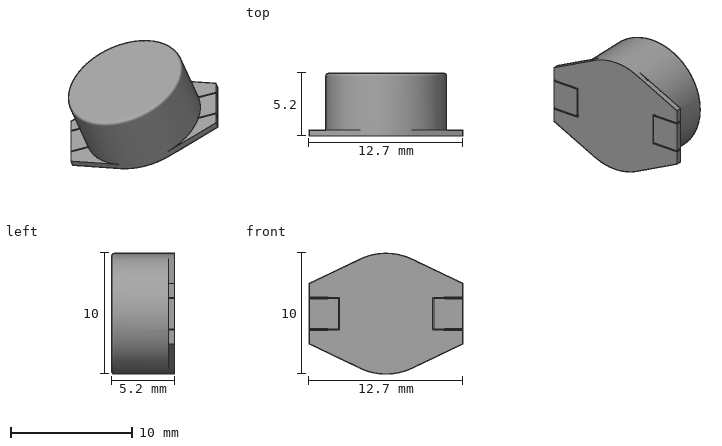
import cadquery as cq
import math

total_length = 12.7
total_height = 5.2
can_radius = 5.0
can_edge_radius = 0.25
base_thickness = 0.5
base_end_width = 5.0
pad_length = 2.4
pad_width = 2.5
pad_gap = 0.1
slot_corner_radius = 0.1

half_length = total_length / 2
half_end_width = base_end_width / 2
slot_length = pad_length + pad_gap
slot_width = pad_width + 2 * pad_gap

corner_distance = math.hypot(half_length, half_end_width)
corner_angle = math.atan2(half_end_width, half_length)
tangent_angle = corner_angle + math.acos(can_radius / corner_distance)
tangent_x = can_radius * math.cos(tangent_angle)
tangent_z = can_radius * math.sin(tangent_angle)


def sketch_plane(y):
    """Plane at height y whose local axes are X and Z and whose normal is -Y."""
    return cq.Workplane("XZ", origin=(0, y, 0))


def make_can():
    """Round can above the base, with its far rim rounded."""
    can = sketch_plane(base_thickness).circle(can_radius).extrude(base_thickness - total_height)
    return can.faces(">Y").edges().fillet(can_edge_radius)


def make_base():
    """Flat base: two straight ends joined by tangent slopes and can-radius arcs."""
    return (
        sketch_plane(0)
        .moveTo(half_length, -half_end_width)
        .lineTo(half_length, half_end_width)
        .lineTo(tangent_x, tangent_z)
        .threePointArc((0, can_radius), (-tangent_x, tangent_z))
        .lineTo(-half_length, half_end_width)
        .lineTo(-half_length, -half_end_width)
        .lineTo(-tangent_x, -tangent_z)
        .threePointArc((0, -can_radius), (tangent_x, -tangent_z))
        .close()
        .extrude(-base_thickness)
    )


def end_block(side, length, width):
    """Base-thick block reaching inward from the base end on the given X side."""
    center_x = side * (half_length - length / 2)
    return sketch_plane(0).center(center_x, 0).rect(length, width).extrude(-base_thickness)


def make_slot(side):
    """Clearance around a terminal pad, with rounded inner corners."""
    inner_edges = "|Y and <X" if side > 0 else "|Y and >X"
    return end_block(side, slot_length, slot_width).edges(inner_edges).fillet(slot_corner_radius)


base = make_base()
for side in (-1, 1):
    base = base.cut(make_slot(side))

result = make_can().union(base)
for side in (-1, 1):
    result = result.union(end_block(side, pad_length, pad_width))